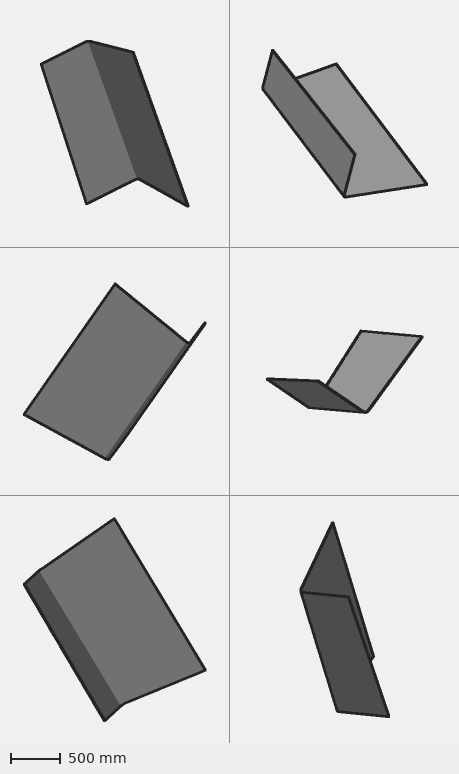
import cadquery as cq
import math

thickness = 10.0
outer_radius = 49.0
inner_radius = outer_radius - thickness

panel_right_x = 1720.0
panel_right_y = 667.0
panel_right_z = 425.0
panel_top_x = 775.0
panel_top_z = 1955.0
panel_turn = math.radians(3.25)

flange_run = 847.0
flange_rise = 1367.0


def panel_y(x):
    """Y of the panel's outer face at a given X."""
    return panel_right_y + (x - panel_right_x) * math.tan(panel_turn)


panel_normal = cq.Vector(-math.sin(panel_turn), math.cos(panel_turn), 0)
flange_normal = cq.Vector(-flange_rise, 0, -flange_run).normalized()


def bend_center(x, z):
    """Bend axis point whose flange tangent point has the given X and Z."""
    flange_point = cq.Vector(x, 0, z)
    axis_point = flange_point - flange_normal * outer_radius
    panel_point = cq.Vector(0, panel_y(0), 0)
    gap = (panel_point - axis_point).dot(panel_normal) - outer_radius
    return axis_point + cq.Vector(0, gap / panel_normal.y, 0)


def plate(outer_corners, outer_normal):
    """Flat plate thickened inward from the corners of its outer face."""
    outline = cq.Wire.makePolygon(outer_corners, close=True)
    return cq.Solid.extrudeLinear(outline, [], outer_normal * -thickness)


def bend(start, end):
    """Curved strip joining the flange to the panel, with square-cut ends."""
    middle = (flange_normal + panel_normal).normalized()

    def arc_points(radius):
        return [start + direction * radius for direction in (flange_normal, middle, panel_normal)]

    outer = arc_points(outer_radius)
    inner = arc_points(inner_radius)
    outline = cq.Wire.assembleEdges([
        cq.Edge.makeThreePointArc(*outer),
        cq.Edge.makeLine(outer[-1], inner[-1]),
        cq.Edge.makeThreePointArc(*reversed(inner)),
        cq.Edge.makeLine(inner[0], outer[0]),
    ])
    return cq.Solid.extrudeLinear(outline, [], end - start)


upper_center = bend_center(0, flange_rise)
lower_center = bend_center(flange_run, 0)

panel = plate(
    [
        upper_center + panel_normal * outer_radius,
        cq.Vector(panel_top_x, panel_y(panel_top_x), panel_top_z),
        cq.Vector(panel_right_x, panel_right_y, panel_right_z),
        lower_center + panel_normal * outer_radius,
    ],
    panel_normal,
)

flange = plate(
    [
        upper_center + flange_normal * outer_radius,
        cq.Vector(0, 0, flange_rise),
        cq.Vector(flange_run, 0, 0),
        lower_center + flange_normal * outer_radius,
    ],
    flange_normal,
)

result = cq.Workplane(obj=panel).union(cq.Workplane(obj=bend(upper_center, lower_center)))
result = result.union(cq.Workplane(obj=flange))